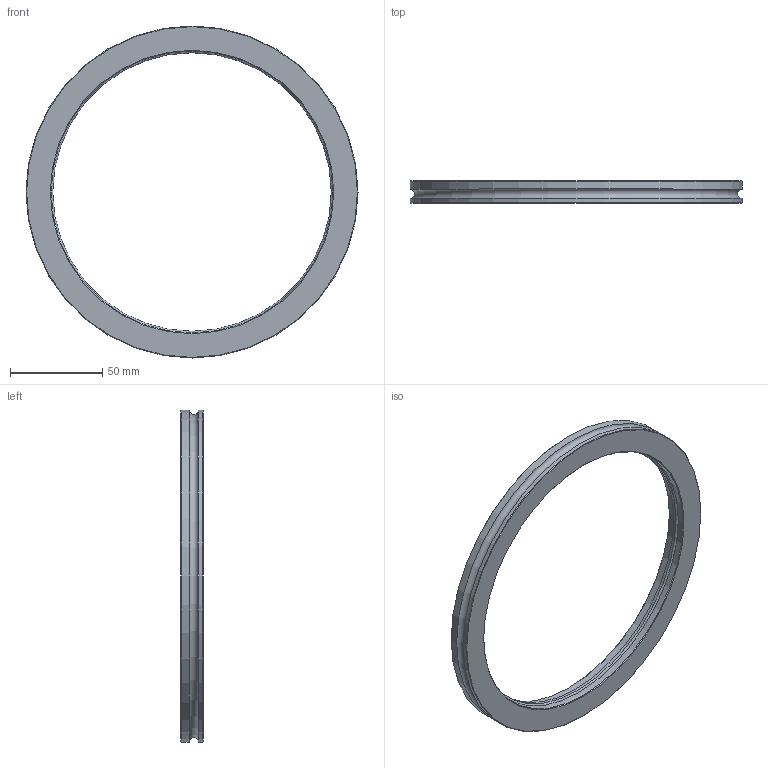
import cadquery as cq
import math

outer_radius = 90.0
width = 12.0
front_bore_radius = 76.4
back_bore_radius = 77.2
rim_chamfer = 0.3
bore_chamfer = 0.4

groove_radius = 2.5
groove_offset = 5.0

band_radius = 75.5
band_start = 4.0
band_end = 6.5

front = -width / 2
back = width / 2
groove_y = front + groove_offset
band_front = front + band_start
band_back = front + band_end

band_rounding = front_bore_radius - band_radius
rounding_gap = band_rounding * (1 - math.sqrt(0.5))


def rim_outline(profile):
    """Outer edge from the -Y face to the +Y face, with the groove and chamfered corners."""
    return (
        profile.lineTo(outer_radius - rim_chamfer, front)
        .lineTo(outer_radius, front + rim_chamfer)
        .lineTo(outer_radius, groove_y - groove_radius)
        .threePointArc(
            (outer_radius - groove_radius, groove_y),
            (outer_radius, groove_y + groove_radius),
        )
        .lineTo(outer_radius, back - rim_chamfer)
        .lineTo(outer_radius - rim_chamfer, back)
    )


def bore_outline(profile):
    """Inner edge from the +Y face to the -Y face, with the band and chamfered corners."""
    return (
        profile.lineTo(back_bore_radius + bore_chamfer, back)
        .lineTo(back_bore_radius, back - bore_chamfer)
        .lineTo(back_bore_radius, band_back)
        .lineTo(band_radius, band_back)
        .lineTo(band_radius, band_front + band_rounding)
        .threePointArc(
            (band_radius + rounding_gap, band_front + rounding_gap),
            (front_bore_radius, band_front),
        )
        .lineTo(front_bore_radius, front + bore_chamfer)
    )


def make_ring():
    """Revolve the cross-section, drawn as (radius, Y), around the Y axis."""
    profile = cq.Workplane("XY").moveTo(front_bore_radius + bore_chamfer, front)
    profile = rim_outline(profile)
    profile = bore_outline(profile)
    return profile.close().revolve(360, (0, 0, 0), (0, 1, 0))


result = make_ring()